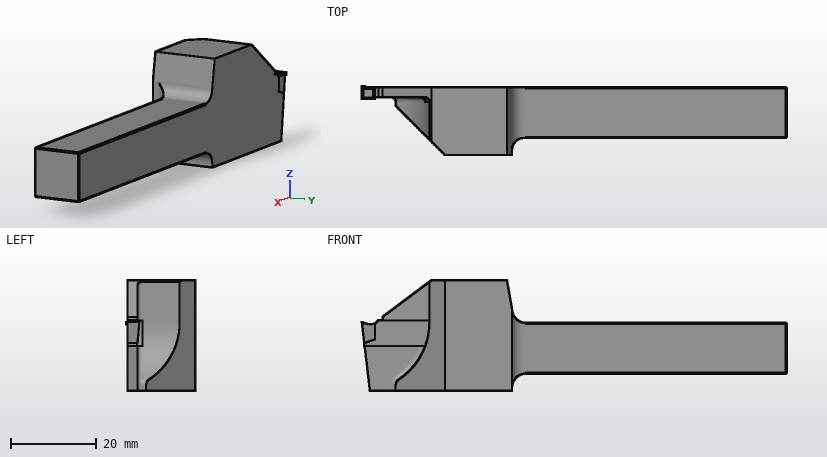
import cadquery as cq
import math

tool_length = 100
head_height = 26
head_depth = 16

shank_size = 12
shank_bottom_z = 4
shank_root_radius = 3.2
shank_front_root_radius = 2.7
shank_chamfer = 0.3

head_right = 35.4
relief_start_z = shank_bottom_z + shank_size + shank_root_radius
relief_angle = math.radians(10)
slope_top_x = 16.4
slope_foot_x = 4.9
slope_foot_z = 17.4
ledge_z = 16.6
ledge_left_x = 4
front_corner_x = 19.6

blade_thickness = 2.4
heel_x = 1.9
pocket_wall_x = 15.9
pocket_radius = 16
pocket_center_z = 16
pocket_toe_x = 8
pocket_toe_radius = 1.7
pocket_floor_radius = 1.1
clearance = 2

band_bottom_z = 10.5
band_height = 6
band_depth = 0.1
band_wall_relief = 0.05

tip_z = 16.2
insert_back_x = 3.1
insert_top_z = 15.8
insert_back_bottom_z = 12.1
insert_front_bottom_z = 11.2
insert_width = 2.8
chip_pocket_margin = 0.4
chip_pocket_floor_z = 15.5
chip_dip_x = 1.8
chip_dip_z = 15.7
nose_overhang = 0.3
nose_length = 0.8
nose_height = 0.6


def front_edge_x(z):
    """X of the leaning front edge at height z."""
    return heel_x * (1 - z / tip_z)


def extrude_xz(profile, y_back, y_front):
    """Extrude a closed XZ profile drawn at y_back forward to y_front."""
    return profile.extrude(y_back - y_front)


def make_insert_body():
    profile = (
        cq.Workplane("XZ")
        .moveTo(0, tip_z)
        .threePointArc((chip_dip_x, chip_dip_z), (insert_back_x, insert_top_z))
        .lineTo(insert_back_x, insert_back_bottom_z)
        .lineTo(front_edge_x(insert_front_bottom_z), insert_front_bottom_z)
        .close()
    )
    return extrude_xz(profile, 0, -insert_width)


def make_insert_nose():
    """Small corner of the cutting edge that overhangs the back face."""
    nose_bottom_z = tip_z - nose_height
    profile = (
        cq.Workplane("XZ", origin=(0, nose_overhang, 0))
        .moveTo(0, tip_z)
        .lineTo(nose_length, chip_dip_z)
        .lineTo(front_edge_x(nose_bottom_z), nose_bottom_z)
        .close()
    )
    return extrude_xz(profile, nose_overhang, -blade_thickness)


def make_side_relief():
    """Envelope whose front side narrows downward until flush with the blade."""
    return (
        cq.Workplane("YZ")
        .moveTo(nose_overhang, insert_front_bottom_z)
        .lineTo(nose_overhang, tip_z)
        .lineTo(-insert_width, tip_z)
        .lineTo(-blade_thickness, insert_front_bottom_z)
        .close()
        .extrude(insert_back_x)
    )


def make_chip_pocket():
    """Rectangular chip-forming recess in the top of the insert."""
    return cq.Workplane("XY").box(
        insert_back_x - 2 * chip_pocket_margin,
        insert_width - 2 * chip_pocket_margin,
        tip_z - chip_pocket_floor_z,
        centered=False,
    ).translate((chip_pocket_margin, chip_pocket_margin - insert_width, chip_pocket_floor_z))


def make_insert():
    blank = make_insert_body().union(make_insert_nose())
    return blank.intersect(make_side_relief()).cut(make_chip_pocket())


def make_head_blank():
    """Head outline, with an open seat that fits the insert."""
    seat_front_x = front_edge_x(insert_front_bottom_z)
    relief_width = (head_height - relief_start_z) * math.tan(relief_angle)
    profile = (
        cq.Workplane("XZ")
        .moveTo(heel_x, 0)
        .lineTo(head_right, 0)
        .lineTo(head_right, relief_start_z)
        .lineTo(head_right - relief_width, head_height)
        .lineTo(slope_top_x, head_height)
        .lineTo(slope_foot_x, slope_foot_z)
        .lineTo(slope_foot_x, ledge_z)
        .lineTo(ledge_left_x, ledge_z)
        .lineTo(insert_back_x, insert_top_z)
        .lineTo(insert_back_x, insert_back_bottom_z)
        .lineTo(seat_front_x, insert_front_bottom_z)
        .lineTo(seat_front_x, band_bottom_z)
        .lineTo(front_edge_x(band_bottom_z), band_bottom_z)
        .close()
    )
    return extrude_xz(profile, 0, -head_depth)


def make_front_corner_cut():
    """45 degree wedge removed in front of the blade."""
    return (
        cq.Workplane("XY")
        .moveTo(front_corner_x, -head_depth - clearance)
        .lineTo(-clearance, -head_depth - clearance)
        .lineTo(-clearance, -blade_thickness)
        .lineTo(front_corner_x - head_depth + blade_thickness, -blade_thickness)
        .lineTo(front_corner_x, -head_depth)
        .close()
        .extrude(head_height)
    )


def make_pocket():
    """Arc-walled pocket, with a rounded toe and a fillet along its floor."""
    center_x = pocket_wall_x - pocket_radius
    toe_z = pocket_center_z - math.sqrt(pocket_radius**2 - (pocket_toe_x - center_x) ** 2)
    middle = math.radians(-30)
    arc_middle = (
        center_x + pocket_radius * math.cos(middle),
        pocket_center_z + pocket_radius * math.sin(middle),
    )
    profile = (
        cq.Workplane("XZ", origin=(0, -blade_thickness, 0))
        .moveTo(-clearance, -clearance)
        .lineTo(pocket_toe_x, -clearance)
        .lineTo(pocket_toe_x, toe_z)
        .threePointArc(arc_middle, (pocket_wall_x, pocket_center_z))
        .lineTo(pocket_wall_x, head_height + clearance)
        .lineTo(-clearance, head_height + clearance)
        .close()
    )
    pocket = extrude_xz(profile, -blade_thickness, -head_depth - clearance)
    toe_point = (pocket_toe_x, -head_depth / 2, toe_z)
    pocket = pocket.edges(cq.selectors.NearestToPointSelector(toe_point)).fillet(pocket_toe_radius)
    return pocket.faces(">Y").edges().fillet(pocket_floor_radius)


def make_band_cut():
    """Recess across the blade that also clears the floor fillet up to the pocket wall."""
    band_floor_y = band_depth - blade_thickness
    center_x = pocket_wall_x - pocket_radius
    wall = (
        cq.Workplane("XZ", origin=(center_x, band_floor_y, pocket_center_z))
        .circle(pocket_radius + band_wall_relief)
        .extrude(pocket_floor_radius + band_depth)
    )
    band = cq.Workplane("XY").box(
        pocket_wall_x + clearance, head_depth, band_height, centered=False
    ).translate((-clearance, -head_depth, band_bottom_z))
    return wall.intersect(band)


def make_shank():
    length = tool_length - head_right
    shank = cq.Workplane("XY").box(length, shank_size, shank_size, centered=False)
    shank = shank.translate((head_right, -shank_size, shank_bottom_z))
    return shank.edges("|X or >X").chamfer(shank_chamfer)


def make_root_fillet():
    """Concave flare where the front, top and bottom of the shank meet the head."""
    r = shank_root_radius
    bottom = shank_bottom_z
    top = shank_bottom_z + shank_size
    front_r = shank_front_root_radius
    mid = r * (1 - math.sqrt(0.5))
    front_mid = front_r * (1 - math.sqrt(0.5))
    side = (
        cq.Workplane("XZ")
        .moveTo(head_right, bottom - r)
        .threePointArc((head_right + mid, bottom - mid), (head_right + r, bottom))
        .lineTo(head_right + r, top)
        .threePointArc((head_right + mid, top + mid), (head_right, top + r))
        .close()
        .extrude(shank_size + front_r)
    )
    plan = (
        cq.Workplane("XY")
        .moveTo(head_right, 0)
        .lineTo(head_right + r, 0)
        .lineTo(head_right + r, -shank_size)
        .lineTo(head_right + front_r, -shank_size)
        .threePointArc(
            (head_right + front_mid, -shank_size - front_mid),
            (head_right, -shank_size - front_r),
        )
        .close()
        .extrude(head_height)
    )
    return side.intersect(plan)


insert = make_insert()
holder = (
    make_head_blank()
    .cut(make_front_corner_cut())
    .cut(make_pocket())
    .cut(make_band_cut())
    .union(make_shank())
    .union(make_root_fillet())
)

result = cq.Compound.makeCompound([holder.val(), insert.val()])